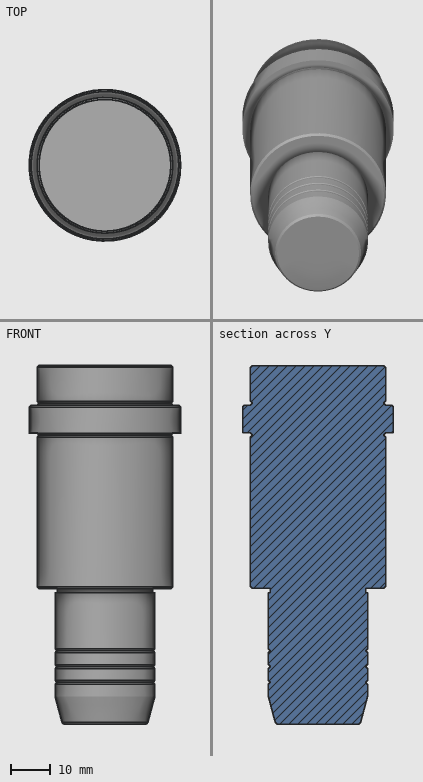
import cadquery as cq
import math

total_length = 90.0

body_radius = 17.0
flange_radius = 19.0
shank_radius = 12.5

head_bottom = 81.0
flange_top = 80.0
flange_bottom = 73.0
body_bottom = 34.0
shank_top = 33.0
taper_top = 7.0

edge_chamfer = 0.5
groove_depth = 0.5
groove_width = 2 * groove_depth
taper_angle = 15.0

lowest_groove_center = 10.5
groove_pitch = 4.0
groove_count = 3


def cylinder(radius, bottom, top):
    """Coaxial cylinder between two heights."""
    return cq.Workplane("XY").workplane(offset=bottom).circle(radius).extrude(top - bottom)


def v_groove(radius, center):
    """Ring that cuts a 45-degree V into a cylinder of the given radius."""
    profile = [
        (radius - groove_depth, center),
        (radius, center - groove_width / 2),
        (radius, center + groove_width / 2),
    ]
    return cq.Workplane("XZ").polyline(profile).close().revolve(360, (0, 0), (0, 1))


body = cylinder(body_radius, body_bottom, total_length).edges().chamfer(edge_chamfer)

flange = cylinder(flange_radius, flange_bottom, flange_top).faces(">Z").edges().chamfer(edge_chamfer)

shank = cylinder(shank_radius, taper_top, shank_top)
neck = cylinder(shank_radius - groove_depth, shank_top, body_bottom)

tip_radius = shank_radius - (taper_top - edge_chamfer) * math.tan(math.radians(taper_angle))
tip_profile = [
    (0, 0),
    (tip_radius - edge_chamfer, 0),
    (tip_radius, edge_chamfer),
    (shank_radius, taper_top),
    (0, taper_top),
]
tip = cq.Workplane("XZ").polyline(tip_profile).close().revolve(360, (0, 0), (0, 1))

body = body.cut(v_groove(body_radius, (head_bottom + flange_top) / 2))
body = body.cut(v_groove(body_radius, flange_bottom - groove_width / 2))

for index in range(groove_count):
    shank = shank.cut(v_groove(shank_radius, lowest_groove_center + index * groove_pitch))

result = body.union(flange).union(neck).union(shank).union(tip)